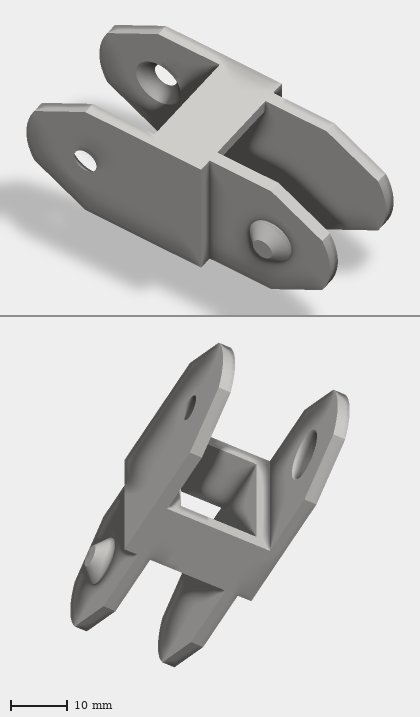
import cadquery as cq
import math

length = 63.5
width = 25.4
height = 25.4
wall = 2.42

end_radius = height / 2
pivot_x = length / 2 - end_radius
end_arc_half_angle = math.radians(30)

body_length = 11.7
body_start_x = -body_length / 2
body_end_x = body_length / 2
arm_clearance = 0.28
fork_gap = width - 2 * wall
inner_arms_width = fork_gap - 2 * arm_clearance
window_width = inner_arms_width - 2 * wall
window_height = height - 2 * wall

stud_base_diameter = 8.93
stud_tip_diameter = stud_base_diameter - 2 * wall
hole_outer_diameter = 4.75
hole_inner_diameter = hole_outer_diameter + 2 * wall


def link_outline():
    """Solid with the full side profile: straight long edges, tapered ends with arc tips."""
    tip_x = pivot_x + end_radius * math.cos(end_arc_half_angle)
    tip_z = end_radius * math.sin(end_arc_half_angle)
    return (
        cq.Workplane("XZ", origin=(0, width / 2, 0))
        .moveTo(-pivot_x, end_radius)
        .lineTo(pivot_x, end_radius)
        .lineTo(tip_x, tip_z)
        .threePointArc((length / 2, 0), (tip_x, -tip_z))
        .lineTo(pivot_x, -end_radius)
        .lineTo(-pivot_x, -end_radius)
        .lineTo(-tip_x, -tip_z)
        .threePointArc((-length / 2, 0), (-tip_x, tip_z))
        .close()
        .extrude(width)
    )


def box_between(start_x, end_x, start_y, end_y, box_height):
    """Box spanning the given X and Y ranges, centred on Z = 0."""
    return cq.Workplane("XY").box(
        end_x - start_x, end_y - start_y, box_height
    ).translate(((start_x + end_x) / 2, (start_y + end_y) / 2, 0))


def side_cone(x, start_y, start_diameter, end_diameter, depth, side):
    """Cone running outward along Y on the side given by its sign."""
    return cq.Workplane(
        cq.Solid.makeCone(
            start_diameter / 2,
            end_diameter / 2,
            depth,
            pnt=cq.Vector(x, side * start_y, 0),
            dir=cq.Vector(0, side, 0),
        )
    )


def side_cylinder(x, start_y, diameter, depth, side):
    """Cylinder running outward along Y on the side given by its sign."""
    return cq.Workplane(
        cq.Solid.makeCylinder(
            diameter / 2,
            depth,
            pnt=cq.Vector(x, side * start_y, 0),
            dir=cq.Vector(0, side, 0),
        )
    )


def cut_spaces(link):
    """Open the outer fork, the window through the body and the arm steps."""
    fork = box_between(-length / 2, body_start_x, -fork_gap / 2, fork_gap / 2, height)
    inner_slot = box_between(body_end_x, length / 2, -window_width / 2, window_width / 2, height)
    window = box_between(body_start_x, body_end_x, -window_width / 2, window_width / 2, window_height)
    link = link.cut(fork).cut(inner_slot).cut(window)
    for side in (-1, 1):
        inner_edge, outer_edge = sorted((side * inner_arms_width / 2, side * width / 2))
        link = link.cut(box_between(body_end_x, length / 2, inner_edge, outer_edge, height))
    return link


def add_pivots(link):
    """Cut a conical hole in each outer arm and add a stud to each inner arm."""
    for side in (-1, 1):
        hole = side_cone(-pivot_x, fork_gap / 2, hole_inner_diameter, hole_outer_diameter, wall, side)
        stud_base = side_cylinder(pivot_x, inner_arms_width / 2, stud_base_diameter, arm_clearance, side)
        stud_tip = side_cone(pivot_x, fork_gap / 2, stud_base_diameter, stud_tip_diameter, wall, side)
        link = link.cut(hole).union(stud_base).union(stud_tip)
    return link


result = add_pivots(cut_spaces(link_outline()))